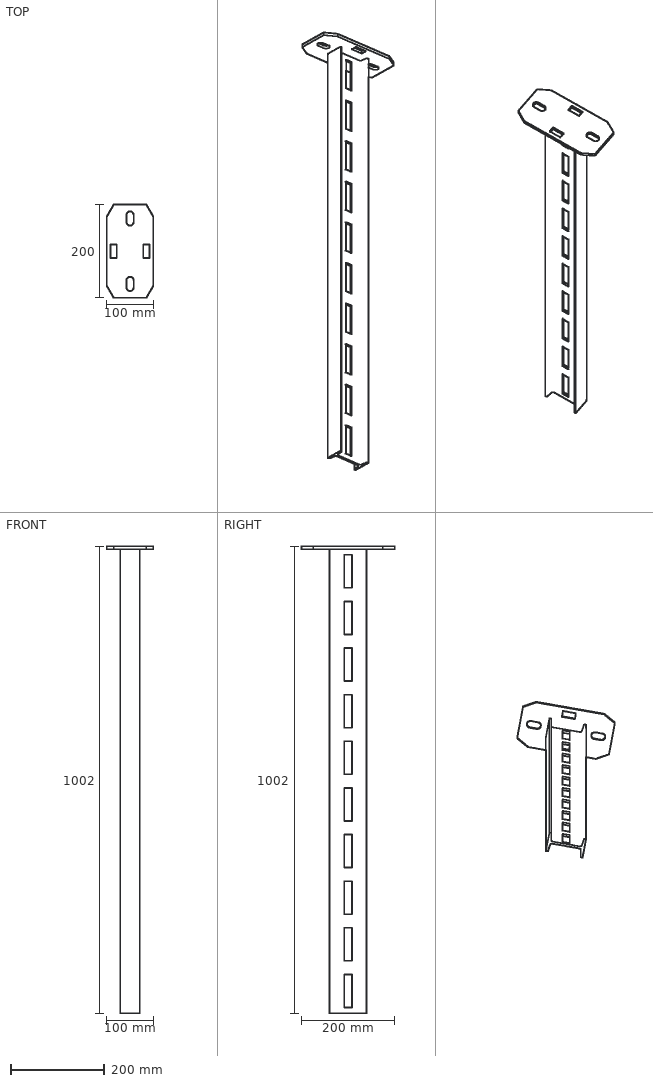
import cadquery as cq

total_height = 1002.0

plate_width = 100.0
plate_length = 200.0
plate_thickness = 7.0
corner_cut_x = 15.0
corner_cut_y = 26.0
bolt_slot_width = 15.0
bolt_slot_length = 30.0
bolt_slot_offset = 70.0
side_hole_width = 13.0
side_hole_length = 28.0
side_hole_offset = 35.0

beam_height = 80.0
flange_width = 42.0
web_thickness = 5.0
flange_tip_thickness = 4.4
flange_slope = 0.14
root_radius = 4.0
tip_radius = 2.3

web_slot_count = 10
web_slot_width = 16.0
web_slot_length = 70.0
top_slot_margin = 12.0
bottom_slot_margin = 13.0

beam_length = total_height - plate_thickness
beam_bottom = -total_height / 2
beam_top = beam_bottom + beam_length

lowest_slot_middle = beam_bottom + bottom_slot_margin + web_slot_length / 2
highest_slot_middle = beam_top - top_slot_margin - web_slot_length / 2
web_slot_pitch = (highest_slot_middle - lowest_slot_middle) / (web_slot_count - 1)


def make_head_plate():
    """Rectangular plate with cut corners, two bolt slots and two rectangular side holes."""
    half_x = plate_width / 2
    half_y = plate_length / 2
    back_half = [
        (half_x, half_y - corner_cut_y),
        (half_x - corner_cut_x, half_y),
        (-half_x + corner_cut_x, half_y),
        (-half_x, half_y - corner_cut_y),
    ]
    front_half = [(-x, -y) for x, y in back_half]
    plate_plane = cq.Workplane("XY", origin=(0, 0, beam_top))
    plate = plate_plane.polyline(back_half + front_half).close().extrude(plate_thickness)
    bolt_slots = (
        plate_plane.pushPoints([(0, -bolt_slot_offset), (0, bolt_slot_offset)])
        .slot2D(bolt_slot_length, bolt_slot_width, angle=90)
        .extrude(plate_thickness)
    )
    side_holes = (
        plate_plane.pushPoints([(-side_hole_offset, 0), (side_hole_offset, 0)])
        .rect(side_hole_width, side_hole_length)
        .extrude(plate_thickness)
    )
    return plate.cut(bolt_slots).cut(side_holes)


def make_beam():
    """I-beam with its web in the YZ plane, tapered flanges, and a row of slots through the web."""
    half_height = beam_height / 2
    half_flange = flange_width / 2
    half_web = web_thickness / 2
    tip_y = half_height - flange_tip_thickness
    root_y = tip_y - flange_slope * (half_flange - half_web)
    right_side = [
        (half_flange, -half_height),
        (half_flange, -tip_y),
        (half_web, -root_y),
        (half_web, root_y),
        (half_flange, tip_y),
        (half_flange, half_height),
    ]
    left_side = [(-x, -y) for x, y in right_side]
    beam = (
        cq.Workplane("XY", origin=(0, 0, beam_bottom))
        .polyline(right_side + left_side)
        .close()
        .extrude(beam_length)
    )
    root_edges = [(x, y) for x in (-half_web, half_web) for y in (-root_y, root_y)]
    tip_edges = [(x, y) for x in (-half_flange, half_flange) for y in (-tip_y, tip_y)]
    beam = fillet_upright_edges(beam, root_edges, root_radius)
    beam = fillet_upright_edges(beam, tip_edges, tip_radius)
    return beam.cut(make_web_slots())


def fillet_upright_edges(body, places, radius):
    """Round the upright edges of a body that stand at the given (x, y) places."""
    for x, y in places:
        body = body.edges(cq.selectors.NearestToPointSelector((x, y, 0))).fillet(radius)
    return body


def make_web_slots():
    """Rectangular cutters spaced evenly between the two end margins."""
    places = [(0, lowest_slot_middle + i * web_slot_pitch) for i in range(web_slot_count)]
    return (
        cq.Workplane("YZ")
        .pushPoints(places)
        .rect(web_slot_width, web_slot_length)
        .extrude(web_thickness, both=True)
    )


head_plate = make_head_plate()
beam = make_beam()
result = cq.Compound.makeCompound([head_plate.val(), beam.val()])